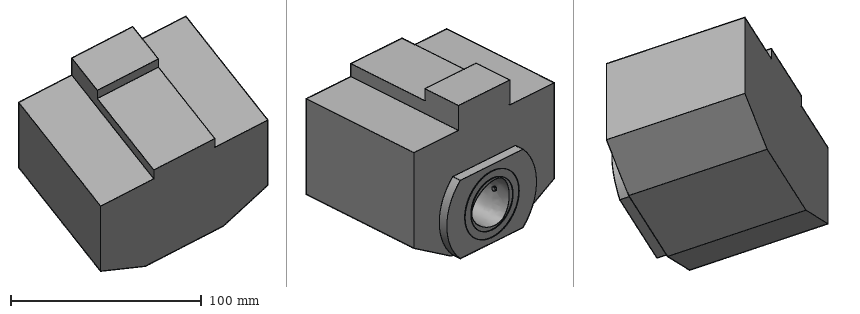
import cadquery as cq
import math

body_length = 80.0
body_width = 104.0
total_height = 89.0
shoulder_drop = 15.1
shoulder_height = total_height - shoulder_drop

slope_height = 16.0
slope_angle = 30.0
slope_run = slope_height / math.tan(math.radians(slope_angle))

rib_width = 38.0
rib_step_drop = 7.3
rib_tall_length = 25.0

spindle_height = 24.0
flange_diameter = 66.4
flange_flats = 47.4
flange_thickness = 5.6
ring_outer_diameter = 40.0
ring_inner_diameter = 31.0
ring_height = 0.4

socket_depth = 31.2
socket_mouth_radius = 13.8
socket_floor_radius = 13.3
lobe_height = 0.8
socket_points = 48

pin_diameter = 2.5
pin_projection = 1.0
pin_embedment = 2.1
pin_depth = 10.4


def facing_front(x):
    """Plane at x on the spindle axis: local X is -Y, local Y is Z, the normal is -X."""
    return cq.Workplane(cq.Plane(origin=(x, 0, spindle_height), xDir=(0, -1, 0), normal=(-1, 0, 0)))


def make_body():
    half_width = body_width / 2
    block = (
        cq.Workplane("YZ")
        .moveTo(-half_width + slope_run, 0)
        .lineTo(half_width - slope_run, 0)
        .lineTo(half_width, slope_height)
        .lineTo(half_width, shoulder_height)
        .lineTo(-half_width, shoulder_height)
        .lineTo(-half_width, slope_height)
        .close()
        .extrude(body_length)
    )
    low_rib = cq.Workplane("XY", origin=(0, -rib_width / 2, shoulder_height)).box(
        body_length, rib_width, shoulder_drop - rib_step_drop, centered=False
    )
    tall_rib = cq.Workplane("XY", origin=(0, -rib_width / 2, shoulder_height)).box(
        rib_tall_length, rib_width, shoulder_drop, centered=False
    )
    return block.union(low_rib).union(tall_rib)


def make_flange():
    disc = facing_front(0).circle(flange_diameter / 2).extrude(flange_thickness)
    flats = facing_front(0).rect(flange_diameter, flange_flats).extrude(flange_thickness)
    ring = (
        facing_front(-flange_thickness)
        .circle(ring_outer_diameter / 2)
        .circle(ring_inner_diameter / 2)
        .extrude(ring_height)
    )
    return disc.intersect(flats).union(ring)


def lobed_outline(radius):
    """Smooth three-lobed curve with one lobe pointing to +Y."""
    points = []
    for i in range(socket_points):
        t = 2 * math.pi * i / socket_points
        reach = radius - lobe_height * math.cos(3 * t)
        swing = 3 * lobe_height * math.sin(3 * t)
        points.append((
            reach * math.cos(t) - swing * math.sin(t),
            reach * math.sin(t) + swing * math.cos(t),
        ))
    return points


def make_socket():
    return (
        facing_front(socket_depth - flange_thickness)
        .spline(lobed_outline(socket_floor_radius), periodic=True)
        .close()
        .workplane(offset=socket_depth)
        .spline(lobed_outline(socket_mouth_radius), periodic=True)
        .close()
        .loft(ruled=True)
    )


def make_pin():
    taper = (socket_mouth_radius - socket_floor_radius) / socket_depth
    wall_distance = socket_mouth_radius - lobe_height - taper * pin_depth
    pin_root = (pin_depth - flange_thickness, -wall_distance - pin_embedment, spindle_height)
    pin_plane = cq.Plane(origin=pin_root, xDir=(1, 0, 0), normal=(0, 1, 0))
    return cq.Workplane(pin_plane).circle(pin_diameter / 2).extrude(pin_embedment + pin_projection)


result = make_body().union(make_flange()).cut(make_socket()).union(make_pin())